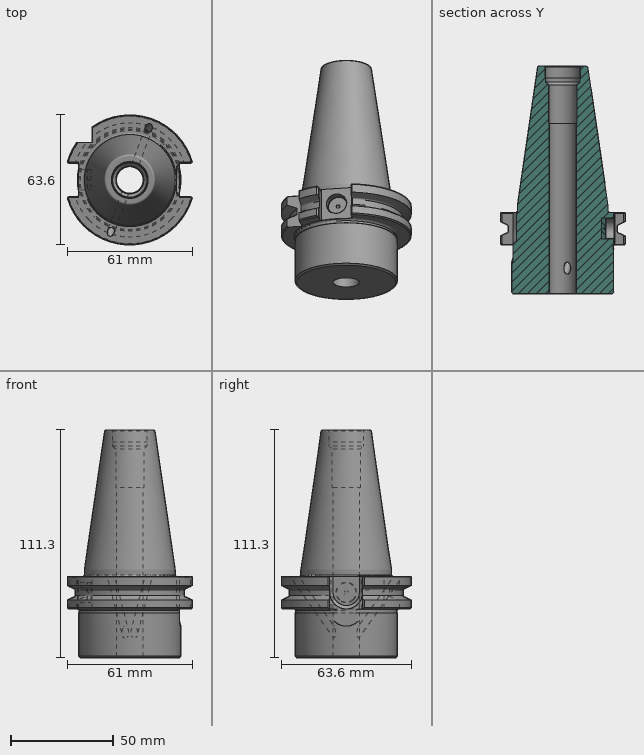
import cadquery as cq
import math

gauge_radius = 44.45 / 2
taper_ratio = 7 / 24
taper_length = 68.25
taper_end_fillet = 1.0

flange_radius = 63.55 / 2
flange_top = -3.2
flange_bottom = -19.1
flange_top_chamfer = 0.4
flange_bottom_chamfer = 0.6
shoulder_fillet = 0.6

groove_centre = -11.25
groove_radius = 27.9
groove_mouth_width = 7.2
groove_half_angle = 26
groove_fillet = 0.6

nose_radius = 25.0
nose_bottom = -43.0
nose_chamfer = 0.8
neck_radius = 24.75
neck_bottom = -21.15
neck_fillet = 0.9

bore_radius = 6.5
thread_radius = 6.85
thread_length = 28.0
pilot_radius = 8.5
pilot_depth = 7.8
relief_radius = 8.4
relief_start_depth = 5.8
pilot_chamfer = 0.5

slot_half_width = 8.05
slot_rim_chamfer = 0.8
slot_face_chamfer = 0.6
left_slot_floor = 25.0
left_slot_corner = 0.5
right_slot_floor = 22.7
right_slot_step = 24.35
right_slot_end_centre = -19.5

notch_offset = 18.35

coolant_radius = 1.75
coolant_pitch_radius = 27.0
coolant_angle = 70
coolant_tilt = 37

chip_height = -11.1
chip_radius = 5.0
chip_edge_chamfer = 0.25
chip_recess_depth = 4.0
chip_thickness = 2.0
dimple_radius = 0.9
dimple_depth = 1.0

taper_end_radius = gauge_radius - taper_length * taper_ratio / 2
flange_height = flange_top - flange_bottom
groove_flank_height = (flange_radius - groove_radius) * math.tan(math.radians(groove_half_angle))
groove_floor_width = groove_mouth_width - 2 * groove_flank_height
deep_slot_end_centre = flange_bottom + slot_half_width
slot_reach = flange_radius + 1.0


def revolve_about_z(profile):
    return profile.close().revolve(360, (0, 0, 0), (0, 1, 0))


def fillet_circles(solid, radius, height, fillet):
    """Round the full circular edges of the given radius at the given height."""
    tolerance = 0.01
    low = (-radius - tolerance, -radius - tolerance, height - tolerance)
    high = (radius + tolerance, radius + tolerance, height + tolerance)
    edges = solid.edges(cq.selectors.BoxSelector(low, high, boundingbox=True))
    return edges.edges(cq.selectors.RadiusNthSelector(-1)).fillet(fillet)


def turned_body():
    body = revolve_about_z(
        cq.Workplane("XZ")
        .moveTo(0, taper_length)
        .lineTo(taper_end_radius, taper_length)
        .lineTo(gauge_radius, 0)
        .lineTo(gauge_radius, flange_top)
        .lineTo(flange_radius - flange_top_chamfer, flange_top)
        .lineTo(flange_radius, flange_top - flange_top_chamfer)
        .lineTo(flange_radius, groove_centre + groove_mouth_width / 2)
        .lineTo(groove_radius, groove_centre + groove_floor_width / 2)
        .lineTo(groove_radius, groove_centre - groove_floor_width / 2)
        .lineTo(flange_radius, groove_centre - groove_mouth_width / 2)
        .lineTo(flange_radius, flange_bottom + flange_bottom_chamfer)
        .lineTo(flange_radius - flange_bottom_chamfer, flange_bottom)
        .lineTo(neck_radius, flange_bottom)
        .lineTo(neck_radius, neck_bottom)
        .lineTo(nose_radius, neck_bottom)
        .lineTo(nose_radius, nose_bottom + nose_chamfer)
        .lineTo(nose_radius - nose_chamfer, nose_bottom)
        .lineTo(0, nose_bottom)
    )
    body = fillet_circles(body, taper_end_radius, taper_length, taper_end_fillet)
    body = fillet_circles(body, gauge_radius, flange_top, shoulder_fillet)
    body = fillet_circles(body, neck_radius, flange_bottom, neck_fillet)
    for side in (1, -1):
        corner_height = groove_centre + side * groove_floor_width / 2
        body = fillet_circles(body, groove_radius, corner_height, groove_fillet)
    return body


def axial_bore():
    """Chamfered pilot bore, thread core and through bore as one cutter."""
    cone_end = taper_length - pilot_depth - (relief_radius - thread_radius)
    thread_end = taper_length - thread_length
    return revolve_about_z(
        cq.Workplane("XZ")
        .moveTo(0, taper_length)
        .lineTo(pilot_radius + pilot_chamfer, taper_length)
        .lineTo(pilot_radius, taper_length - pilot_chamfer)
        .lineTo(pilot_radius, taper_length - relief_start_depth)
        .lineTo(relief_radius, taper_length - relief_start_depth)
        .lineTo(relief_radius, taper_length - pilot_depth)
        .lineTo(thread_radius, cone_end)
        .lineTo(thread_radius, thread_end)
        .lineTo(bore_radius, thread_end)
        .lineTo(bore_radius, nose_bottom)
        .lineTo(0, nose_bottom)
    )


def slot_mouth_chamfers(side):
    """Wedges that break the edges between the slot walls and the flange rim."""
    wide = slot_half_width + slot_rim_chamfer
    rim_x = math.sqrt(flange_radius ** 2 - wide ** 2)
    start_x = rim_x - slot_rim_chamfer
    overshoot = slot_reach - rim_x
    return (
        cq.Workplane("XY", origin=(0, 0, flange_bottom))
        .moveTo(side * start_x, -slot_half_width)
        .lineTo(side * slot_reach, -wide - overshoot)
        .lineTo(side * slot_reach, wide + overshoot)
        .lineTo(side * start_x, slot_half_width)
        .close()
        .extrude(flange_height)
    )


def left_slot():
    """Drive slot on -X, open through the whole flange, with broken floor corners."""
    length = slot_reach - left_slot_floor
    return (
        cq.Workplane("XY", origin=(-left_slot_floor - length / 2, 0, flange_bottom))
        .rect(length, 2 * slot_half_width)
        .extrude(flange_height)
        .edges("|Z and >X")
        .chamfer(left_slot_corner)
    )


def round_ended_slot(floor_x, end_centre):
    """Slot on +X with a half-round lower end, open at the top of the flange."""
    straight_height = flange_top - end_centre
    return (
        cq.Workplane("YZ", origin=(floor_x, 0, end_centre))
        .moveTo(-slot_half_width, straight_height)
        .lineTo(-slot_half_width, 0)
        .threePointArc((0, -slot_half_width), (slot_half_width, 0))
        .lineTo(slot_half_width, straight_height)
        .close()
        .extrude(slot_reach - floor_x)
    )


def right_slot():
    """Drive slot on +X: a deep slot in the flange, stepped to a shallow one down into the nose."""
    deep = round_ended_slot(right_slot_floor, deep_slot_end_centre)
    deep = deep.faces("<X").edges("not >Z").chamfer(right_slot_step - right_slot_floor)
    return deep.union(round_ended_slot(right_slot_step, right_slot_end_centre))


def slot_face_chamfers(floor_x, side):
    """Trapezoidal prism that breaks the edges between the slot walls and the flange top."""
    wide = slot_half_width + slot_face_chamfer
    return (
        cq.Workplane("YZ", origin=(side * floor_x, 0, flange_top))
        .moveTo(-wide, 0)
        .lineTo(-slot_half_width, -slot_face_chamfer)
        .lineTo(slot_half_width, -slot_face_chamfer)
        .lineTo(wide, 0)
        .close()
        .extrude(side * (slot_reach - floor_x))
    )


def corner_notch():
    size = flange_radius
    return (
        cq.Workplane("XY", origin=(0, 0, flange_bottom))
        .moveTo(-notch_offset, notch_offset)
        .rect(-size, size, centered=False)
        .extrude(flange_height)
    )


def coolant_hole(angle):
    """Hole that leans inward from the flange face to the bore."""
    tilt = math.radians(coolant_tilt)
    around = math.radians(angle)
    outward = cq.Vector(math.cos(around), math.sin(around), 0)
    drill = cq.Vector(0, 0, -math.cos(tilt)) - outward * math.sin(tilt)
    lead = 2 * coolant_radius
    entry = outward * coolant_pitch_radius + cq.Vector(0, 0, flange_top) - drill * lead
    length = lead + coolant_pitch_radius / math.sin(tilt) - bore_radius
    return cq.Workplane(obj=cq.Solid.makeCylinder(coolant_radius, length, entry, drill))


def chip_recess():
    return (
        cq.Workplane("YZ", origin=(-left_slot_floor, 0, chip_height))
        .circle(chip_radius)
        .extrude(chip_recess_depth + chip_thickness)
    )


def make_holder():
    body = turned_body().cut(axial_bore())
    body = body.cut(left_slot()).cut(right_slot())
    for floor_x, side in ((left_slot_floor, -1), (right_slot_step, 1)):
        body = body.cut(slot_mouth_chamfers(side))
        body = body.cut(slot_face_chamfers(floor_x, side))
    body = body.cut(corner_notch())
    for angle in (coolant_angle, coolant_angle + 180):
        body = body.cut(coolant_hole(angle))
    return body.cut(chip_recess())


def make_chip():
    """Edge-broken disc at the bottom of the recess, with a conical dimple in its face."""
    face_x = chip_recess_depth - left_slot_floor
    disc = (
        cq.Workplane("YZ", origin=(face_x, 0, chip_height))
        .circle(chip_radius)
        .extrude(chip_thickness)
        .faces("<X").edges()
        .chamfer(chip_edge_chamfer)
    )
    face_centre = cq.Vector(face_x, 0, chip_height)
    dimple = cq.Solid.makeCone(dimple_radius, 0, dimple_depth, face_centre, cq.Vector(1, 0, 0))
    return disc.cut(cq.Workplane(obj=dimple))


holder = make_holder()
chip = make_chip()

result = cq.Compound.makeCompound([*holder.solids().vals(), *chip.solids().vals()])